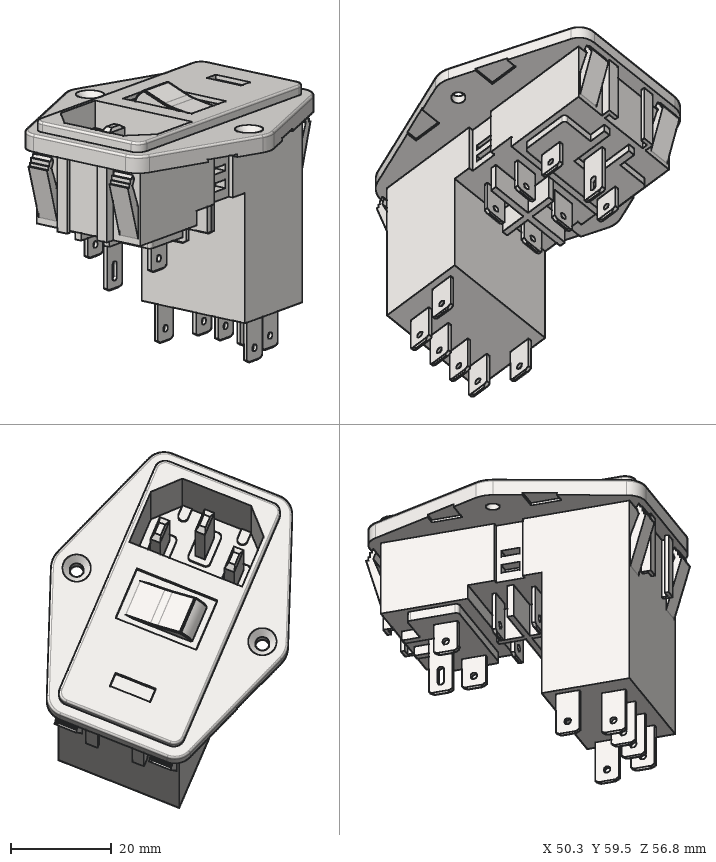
import cadquery as cq
import math


FLANGE_HEIGHT = 3.65
FLANGE_HALF_LENGTH = 29.35
CORNER_RADIUS = 4.15
CORNER_X = 11.55
EAR_X = 20.0
FLANGE_WIDTH = 50.3
EAR_TIP_X = FLANGE_WIDTH / 2
EDGE_ROUND = 0.5
SCREW_HOLE = 2.8
COUNTERSINK = 5.65
COUNTERSINK_ANGLE = 90
NOTCH_INNER_X = 17.85
NOTCH_NEAR_Y = 7.3
NOTCH_LENGTH = 6.4
NOTCH_HEIGHT = 0.55

PANEL_TOP = 5.7
PANEL_WIDTH = 26.8
PANEL_LENGTH = 54.05
PANEL_RADIUS = 2.2

BODY_WIDTH = 26.0
BODY_HALF_LENGTH = 26.4
FUSE_FRONT_Y = 7.75
FUSE_BOTTOM = -39.75
SWITCH_BOTTOM = -12.75
INLET_BACK_Y = -7.9
INLET_BOTTOM = -15.8

SIDE_RECESS_FRONT = -2.25
SIDE_RECESS_BACK = 3.75
SIDE_RECESS_DEPTH = 1.0
WINDOW_FRONT = -1.25
WINDOW_BACK = 2.7
WINDOW_DEPTH = 2.4
WINDOW_HEIGHTS = ((-7.1, -5.8), (-10.7, -8.9))

RIB_WIDTH = 2.5
RIB_X = 5.0
RIB_DEPTH = 2.0
RIB_LIP = 0.85
RIB_WEB = 0.85
CLIP_WIDTH = 4.65
CLIP_X = 10.2
CLIP_OUTLINE = (
    (BODY_HALF_LENGTH, -14.35),
    (29.75, -3.1),
    (29.3, -3.1),
    (29.3, -2.4),
    (28.9, -2.4),
    (28.9, -1.5),
    (28.5, -1.5),
    (28.2, -0.7),
    (27.6, -1.6),
    (28.2, -3.0),
    (BODY_HALF_LENGTH, -7.55),
)

LABEL_WIDTH = 8.65
LABEL_LENGTH = 3.0
LABEL_Y = 19.15
RECESS_DEPTH = 0.95
RECESS_FLOOR = PANEL_TOP - RECESS_DEPTH
OPENING_WIDTH = 17.3
OPENING_LENGTH = 11.15
OPENING_Y = 1.6
ROCKER_HALF_WIDTH = 7.2
ROCKER_LENGTH = 8.05
ROCKER_Y = 1.7
ROCKER_TOP = 7.7
ROCKER_NOSE_MIDDLE = (-6.2, 6.6)
ROCKER_CREST_START_X = -4.8
ROCKER_CREST_END_X = -4.45
ROCKER_SADDLE_START = (0.3, 5.95)
ROCKER_SADDLE_MIDDLE = (1.1, 5.7)
ROCKER_SADDLE_END = (1.9, 5.55)
ROCKER_CHAMFER = 0.25

SOCKET_HALF_WIDTH = 12.15
SOCKET_BACK_Y = -8.45
SOCKET_FRONT_Y = -24.65
SOCKET_CORNER_X = 7.4
SOCKET_CORNER_Y = -19.7
SOCKET_FLOOR = -13.7
PAD_WIDTH = 4.65
PAD_LENGTH = 7.45
PAD_RADIUS = 0.9
PAD_HEIGHT = 0.6
KEY_WIDTH = 2.1
KEY_LENGTH = 3.05
KEY_X = 6.35
PIN_WIDTH = 2.1
PIN_LENGTH = 4.95
PIN_TIP_WIDTH = 1.3
PIN_TIP_LENGTH = 2.4
PIN_TAPER = 0.8
LINE_PIN_X = 8.0
LINE_PIN_Y = -14.35
LINE_PIN_TOP = 1.8
EARTH_PIN_Y = -18.4
EARTH_PIN_TOP = 5.0

PLATE_BOTTOM = -17.8
PLATE_HALF_WIDTH = 11.7
PLATE_BACK_Y = -10.4
PLATE_STEP_Y = -21.35
PLATE_FRONT_Y = -25.2
PLATE_TONGUE_WIDTH = 8.6
PLATE_GAP_WIDTH = 5.6
PLATE_GAP_BACK_Y = -15.5
PLATE_RADIUS = 0.8

DIVIDER_BOTTOM = -19.65
DIVIDER_WALL = 1.3
DIVIDER_WIDTH = 19.9
DIVIDER_LENGTH = 12.8

BLADE_WIDTH = 5.0
BLADE_CORNER_WIDTH = 1.15
BLADE_CORNER_HEIGHT = 0.7
BLADE_TIP_THICKNESS = 0.2
BLADE_HOLE = 1.35
BLADE_ROOT = 0.6
THICK_BLADE = 0.9
THIN_BLADE = 0.8
INLET_TIP = -24.6
INLET_HOLE_Z = -21.95
EARTH_TIP = -28.9
EARTH_SLOT_Z = -25.05
EARTH_SLOT_LENGTH = 4.0
SWITCH_TIP = -21.4
SWITCH_HOLE_Z = -18.75
SWITCH_BLADE_X = 5.3
SWITCH_BLADE_YS = (-4.3, 4.1)
FUSE_TIP = -49.05
FUSE_HOLE_Z = -46.25
FUSE_FRONT_BLADE_Y = 12.75
FUSE_FRONT_BLADE_X = 11.2
FUSE_BACK_BLADE_Y = 21.4
FUSE_BACK_INNER_X = 2.8
FUSE_BACK_OUTER_X = 8.35


def box(x_range, y_range, z_range):
    (x0, x1), (y0, y1), (z0, z1) = x_range, y_range, z_range
    return cq.Workplane("XY").box(x1 - x0, y1 - y0, z1 - z0, centered=False).translate((x0, y0, z0))


def centred_block(width, length, x, y, bottom, top):
    return (
        cq.Workplane("XY", origin=(x, y, bottom))
        .rect(width, length)
        .extrude(top - bottom)
    )


def both_ends(shape):
    return shape.union(shape.mirror("XZ"))


def both_sides(shape):
    return shape.union(shape.mirror("YZ"))


def make_flange():
    corner_y = FLANGE_HALF_LENGTH - CORNER_RADIUS
    ear_radius = EAR_TIP_X - EAR_X
    centre_distance = math.hypot(EAR_X - CORNER_X, corner_y)
    centre_line_angle = math.atan2(corner_y, EAR_X - CORNER_X)
    side_angle = math.acos((CORNER_RADIUS - ear_radius) / centre_distance) - centre_line_angle

    def on_corner(angle):
        return CORNER_X + CORNER_RADIUS * math.cos(angle), corner_y + CORNER_RADIUS * math.sin(angle)

    ear_start = (EAR_X + ear_radius * math.cos(side_angle), ear_radius * math.sin(side_angle))
    quarter = (
        cq.Workplane("XY")
        .moveTo(0, 0)
        .lineTo(0, FLANGE_HALF_LENGTH)
        .lineTo(CORNER_X, FLANGE_HALF_LENGTH)
        .threePointArc(on_corner((math.pi / 2 + side_angle) / 2), on_corner(side_angle))
        .lineTo(*ear_start)
        .threePointArc(
            (EAR_X + ear_radius * math.cos(side_angle / 2), ear_radius * math.sin(side_angle / 2)),
            (EAR_TIP_X, 0),
        )
        .close()
        .extrude(FLANGE_HEIGHT)
    )
    flange = both_ends(both_sides(quarter)).clean()
    flange = flange.faces(">Z").edges().fillet(EDGE_ROUND)
    flange = (
        flange.faces(">Z")
        .workplane(origin=(0, 0, FLANGE_HEIGHT))
        .pushPoints([(-EAR_X, 0), (EAR_X, 0)])
        .cskHole(SCREW_HOLE, COUNTERSINK, COUNTERSINK_ANGLE)
    )
    notch = box(
        (NOTCH_INNER_X, EAR_TIP_X),
        (NOTCH_NEAR_Y, NOTCH_NEAR_Y + NOTCH_LENGTH),
        (0, NOTCH_HEIGHT),
    )
    return flange.cut(both_ends(both_sides(notch)))


def make_panel():
    return (
        cq.Workplane("XY")
        .rect(PANEL_WIDTH, PANEL_LENGTH)
        .extrude(PANEL_TOP)
        .edges("|Z")
        .fillet(PANEL_RADIUS)
        .faces(">Z")
        .edges()
        .fillet(EDGE_ROUND)
    )


def make_housing():
    housing = (
        cq.Workplane("YZ", origin=(-BODY_WIDTH / 2, 0, 0))
        .polyline([
            (BODY_HALF_LENGTH, 0),
            (BODY_HALF_LENGTH, FUSE_BOTTOM),
            (FUSE_FRONT_Y, FUSE_BOTTOM),
            (FUSE_FRONT_Y, SWITCH_BOTTOM),
            (INLET_BACK_Y, SWITCH_BOTTOM),
            (INLET_BACK_Y, INLET_BOTTOM),
            (-BODY_HALF_LENGTH, INLET_BOTTOM),
            (-BODY_HALF_LENGTH, 0),
        ])
        .close()
        .extrude(BODY_WIDTH)
    )
    wall_x = BODY_WIDTH / 2
    recess_x = wall_x - SIDE_RECESS_DEPTH
    cutter = box((recess_x, wall_x), (SIDE_RECESS_FRONT, SIDE_RECESS_BACK), (SWITCH_BOTTOM, 0))
    for heights in WINDOW_HEIGHTS:
        window = box((recess_x - WINDOW_DEPTH, recess_x), (WINDOW_FRONT, WINDOW_BACK), heights)
        cutter = cutter.union(window)
    return housing.cut(both_sides(cutter))


def make_rib(bottom):
    inner_x = RIB_X - RIB_WIDTH / 2
    outer_x = RIB_X + RIB_WIDTH / 2
    outer_y = BODY_HALF_LENGTH + RIB_DEPTH
    return (
        cq.Workplane("XY")
        .polyline([
            (outer_x, BODY_HALF_LENGTH),
            (outer_x, outer_y),
            (inner_x, outer_y),
            (inner_x, outer_y - RIB_LIP),
            (outer_x - RIB_WEB, outer_y - RIB_LIP),
            (outer_x - RIB_WEB, BODY_HALF_LENGTH),
        ])
        .close()
        .extrude(bottom)
    )


def make_ribs():
    back = make_rib(SWITCH_BOTTOM)
    front = make_rib(INLET_BOTTOM).mirror("XZ")
    return both_sides(back.union(front))


def make_clips():
    clip = (
        cq.Workplane("YZ", origin=(CLIP_X - CLIP_WIDTH / 2, 0, 0))
        .polyline(CLIP_OUTLINE)
        .close()
        .extrude(CLIP_WIDTH)
    )
    return both_ends(both_sides(clip))


def make_rocker():
    return (
        cq.Workplane("XZ", origin=(0, ROCKER_Y + ROCKER_LENGTH / 2, 0))
        .moveTo(-ROCKER_HALF_WIDTH, FLANGE_HEIGHT)
        .lineTo(-ROCKER_HALF_WIDTH, RECESS_FLOOR)
        .threePointArc(ROCKER_NOSE_MIDDLE, (ROCKER_CREST_START_X, ROCKER_TOP))
        .lineTo(ROCKER_CREST_END_X, ROCKER_TOP)
        .lineTo(*ROCKER_SADDLE_START)
        .threePointArc(ROCKER_SADDLE_MIDDLE, ROCKER_SADDLE_END)
        .lineTo(ROCKER_HALF_WIDTH, RECESS_FLOOR)
        .lineTo(ROCKER_HALF_WIDTH, FLANGE_HEIGHT)
        .close()
        .extrude(ROCKER_LENGTH)
        .faces("<Y or >Y")
        .edges("not <Z")
        .edges("not |Z")
        .chamfer(ROCKER_CHAMFER)
    )


def make_socket():
    return (
        cq.Workplane("XY", origin=(0, 0, SOCKET_FLOOR))
        .polyline([
            (-SOCKET_HALF_WIDTH, SOCKET_BACK_Y),
            (SOCKET_HALF_WIDTH, SOCKET_BACK_Y),
            (SOCKET_HALF_WIDTH, SOCKET_CORNER_Y),
            (SOCKET_CORNER_X, SOCKET_FRONT_Y),
            (-SOCKET_CORNER_X, SOCKET_FRONT_Y),
            (-SOCKET_HALF_WIDTH, SOCKET_CORNER_Y),
        ])
        .close()
        .extrude(PANEL_TOP - SOCKET_FLOOR)
    )


def make_key(x, wall_y, inward):
    half_width = KEY_WIDTH / 2
    straight_end = wall_y + inward * (KEY_LENGTH - half_width)
    return (
        cq.Workplane("XY", origin=(0, 0, SOCKET_FLOOR))
        .moveTo(x - half_width, wall_y)
        .lineTo(x - half_width, straight_end)
        .threePointArc((x, wall_y + inward * KEY_LENGTH), (x + half_width, straight_end))
        .lineTo(x + half_width, wall_y)
        .close()
        .extrude(PAD_HEIGHT)
    )


def make_pin(x, y, top):
    pad = centred_block(PAD_WIDTH, PAD_LENGTH, x, y, SOCKET_FLOOR, SOCKET_FLOOR + PAD_HEIGHT)
    pad = pad.edges("|Z").fillet(PAD_RADIUS)
    shaft = centred_block(PIN_WIDTH, PIN_LENGTH, x, y, SOCKET_FLOOR, top - PIN_TAPER)
    tip = (
        cq.Workplane("XY", origin=(x, y, top - PIN_TAPER))
        .rect(PIN_WIDTH, PIN_LENGTH)
        .workplane(offset=PIN_TAPER)
        .rect(PIN_TIP_WIDTH, PIN_TIP_LENGTH)
        .loft(ruled=True)
    )
    return pad.union(shaft).union(tip)


def make_plate():
    height = INLET_BOTTOM - PLATE_BOTTOM
    plate_length = PLATE_BACK_Y - PLATE_STEP_Y
    plate = (
        cq.Workplane("XY", origin=(0, PLATE_BACK_Y - plate_length / 2, PLATE_BOTTOM))
        .rect(2 * PLATE_HALF_WIDTH, plate_length)
        .extrude(height)
        .edges("|Z")
        .fillet(PLATE_RADIUS)
    )
    half_tongue = PLATE_TONGUE_WIDTH / 2
    tongue = box((-half_tongue, half_tongue), (PLATE_FRONT_Y, PLATE_BACK_Y), (PLATE_BOTTOM, INLET_BOTTOM))
    half_gap = PLATE_GAP_WIDTH / 2
    gap = box((-half_gap, half_gap), (PLATE_FRONT_Y, PLATE_GAP_BACK_Y), (PLATE_BOTTOM, INLET_BOTTOM))
    return plate.union(tongue).cut(gap)


def make_divider():
    across = centred_block(DIVIDER_WIDTH, DIVIDER_WALL, 0, 0, DIVIDER_BOTTOM, SWITCH_BOTTOM)
    along = centred_block(DIVIDER_WALL, DIVIDER_LENGTH, 0, 0, DIVIDER_BOTTOM, SWITCH_BOTTOM)
    return across.union(along)


def make_blade(root, tip, thickness, hole_z, hole_length=BLADE_HOLE):
    half_width = BLADE_WIDTH / 2
    half_tip_width = half_width - BLADE_CORNER_WIDTH
    corner_z = tip + BLADE_CORNER_HEIGHT
    blade = (
        cq.Workplane("YZ", origin=(-thickness / 2, 0, 0))
        .polyline([
            (-half_width, root + BLADE_ROOT),
            (-half_width, corner_z),
            (-half_tip_width, tip),
            (half_tip_width, tip),
            (half_width, corner_z),
            (half_width, root + BLADE_ROOT),
        ])
        .close()
        .extrude(thickness)
    )
    half_thickness = thickness / 2
    half_tip = BLADE_TIP_THICKNESS / 2
    bevel_z = tip + half_thickness - half_tip
    edge_profile = (
        cq.Workplane("XZ", origin=(0, half_width, 0))
        .polyline([
            (-half_thickness, root + BLADE_ROOT),
            (-half_thickness, bevel_z),
            (-half_tip, tip),
            (half_tip, tip),
            (half_thickness, bevel_z),
            (half_thickness, root + BLADE_ROOT),
        ])
        .close()
        .extrude(BLADE_WIDTH)
    )
    hole = cq.Workplane("YZ", origin=(-half_thickness, 0, 0)).center(0, hole_z)
    if hole_length > BLADE_HOLE:
        hole = hole.slot2D(hole_length, BLADE_HOLE, 90)
    else:
        hole = hole.circle(BLADE_HOLE / 2)
    return blade.intersect(edge_profile).cut(hole.extrude(thickness))


def make_blades():
    inlet = make_blade(PLATE_BOTTOM, INLET_TIP, THICK_BLADE, INLET_HOLE_Z)
    earth = make_blade(INLET_BOTTOM, EARTH_TIP, THICK_BLADE, EARTH_SLOT_Z, EARTH_SLOT_LENGTH)
    fuse = make_blade(FUSE_BOTTOM, FUSE_TIP, THIN_BLADE, FUSE_HOLE_Z)
    thick_fuse = make_blade(FUSE_BOTTOM, FUSE_TIP, THICK_BLADE, FUSE_HOLE_Z)
    switch = make_blade(SWITCH_BOTTOM, SWITCH_TIP, THIN_BLADE, SWITCH_HOLE_Z)
    switch = switch.rotate((0, 0, 0), (0, 0, 1), 90)

    blades = [earth.translate((0, EARTH_PIN_Y, 0))]
    for side in (-1, 1):
        blades.append(inlet.translate((side * LINE_PIN_X, LINE_PIN_Y, 0)))
        blades.append(fuse.translate((side * FUSE_FRONT_BLADE_X, FUSE_FRONT_BLADE_Y, 0)))
        blades.append(fuse.translate((side * FUSE_BACK_INNER_X, FUSE_BACK_BLADE_Y, 0)))
        blades.append(thick_fuse.translate((side * FUSE_BACK_OUTER_X, FUSE_BACK_BLADE_Y, 0)))
        for y in SWITCH_BLADE_YS:
            blades.append(switch.translate((side * SWITCH_BLADE_X, y, 0)))
    return blades


result = make_flange().union(make_panel()).union(make_housing())
result = result.union(make_ribs()).union(make_clips())

result = result.cut(centred_block(LABEL_WIDTH, LABEL_LENGTH, 0, LABEL_Y, RECESS_FLOOR, PANEL_TOP))
result = result.cut(centred_block(OPENING_WIDTH, OPENING_LENGTH, 0, OPENING_Y, RECESS_FLOOR, PANEL_TOP))
result = result.union(make_rocker())

result = result.cut(make_socket())
result = result.union(make_key(0, SOCKET_BACK_Y, -1))
for side in (-1, 1):
    result = result.union(make_key(side * KEY_X, SOCKET_FRONT_Y, 1))
    result = result.union(make_pin(side * LINE_PIN_X, LINE_PIN_Y, LINE_PIN_TOP))
result = result.union(make_pin(0, EARTH_PIN_Y, EARTH_PIN_TOP))

result = result.union(make_plate()).union(make_divider())
for blade in make_blades():
    result = result.union(blade)